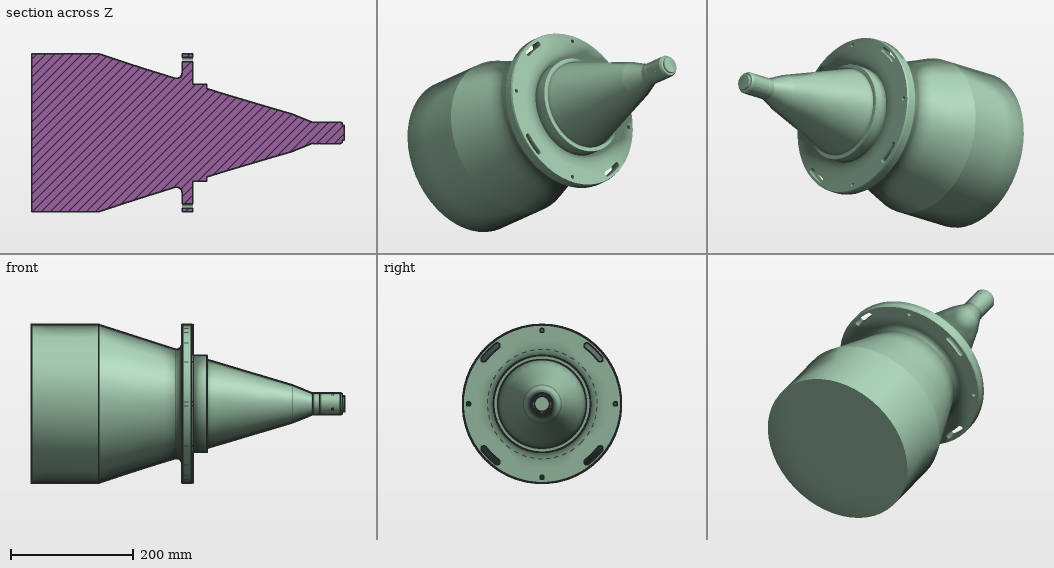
import cadquery as cq
import math

body_radius = 129.75
body_end = 110.0
neck_radius = 89.5
neck_start = 235.0
neck_end = 238.0

flange_radius = 130.0
flange_start = 246.0
flange_end = 264.5
flange_front_chamfer = 2.0
flange_back_chamfer = 3.0
flange_chamfer_drop = 1.0
neck_fillet = flange_start - neck_end

boss_radius = 79.5
boss_end = 287.5
boss_chamfer = 0.5
cone_base_radius = 72.5
cone_break = 426.5
cone_break_radius = 31.0

tip_radius = 18.0
tip_start = 458.6
tip_chamfer_start = 505.0
tip_chamfer_end = 508.6
tip_end_radius = 16.0
nub_radius = 13.0
nub_chamfer = 0.5
total_length = 512.4

second_groove_start = 469.8
groove_stations = (tip_start, second_groove_start)
groove_width = 3.2
groove_depth = 0.5

screw_hole_station = 492.3
screw_hole_diameter = 2.0
screw_hole_depth = 4.0
screw_hole_count = 3

pitch_radius = 120.0
slot_width = 9.0
slot_half_angle = 7.4
slot_count = 4
slot_start_angle = 45.0
pin_hole_diameter = 6.5
pin_hole_count = 4


def make_body():
    bend = math.sqrt(0.5) * neck_fillet
    profile = (
        cq.Workplane("XY")
        .lineTo(0, body_radius)
        .lineTo(body_end, body_radius)
        .lineTo(neck_start, neck_radius)
        .lineTo(neck_end, neck_radius)
        .threePointArc(
            (neck_end + bend, neck_radius + neck_fillet - bend),
            (flange_start, neck_radius + neck_fillet),
        )
        .lineTo(flange_start, flange_radius - flange_chamfer_drop)
        .lineTo(flange_start + flange_front_chamfer, flange_radius)
        .lineTo(flange_end - flange_back_chamfer, flange_radius)
        .lineTo(flange_end, flange_radius - flange_chamfer_drop)
        .lineTo(flange_end, boss_radius)
        .lineTo(boss_end - boss_chamfer, boss_radius)
        .lineTo(boss_end, boss_radius - boss_chamfer)
        .lineTo(boss_end, cone_base_radius)
        .lineTo(cone_break, cone_break_radius)
    )
    for start in groove_stations:
        profile = (
            profile.lineTo(start, tip_radius)
            .lineTo(start + groove_width / 2, tip_radius - groove_depth)
            .lineTo(start + groove_width, tip_radius)
        )
    profile = (
        profile.lineTo(tip_chamfer_start, tip_radius)
        .lineTo(tip_chamfer_end, tip_end_radius)
        .lineTo(tip_chamfer_end, nub_radius)
        .lineTo(total_length - nub_chamfer, nub_radius)
        .lineTo(total_length, nub_radius - nub_chamfer)
        .lineTo(total_length, 0)
        .close()
    )
    return profile.revolve(360, (0, 0, 0), (1, 0, 0)).rotate((0, 0, 0), (1, 0, 0), 90)


def polar(radius, degrees):
    angle = math.radians(degrees)
    return radius * math.cos(angle), radius * math.sin(angle)


def flange_slot(middle):
    inner = pitch_radius - slot_width / 2
    outer = pitch_radius + slot_width / 2
    first = middle - slot_half_angle
    last = middle + slot_half_angle
    cap = math.degrees(slot_width / 2 / pitch_radius)
    return (
        cq.Workplane("YZ", origin=(flange_start, 0, 0))
        .moveTo(*polar(outer, first))
        .threePointArc(polar(outer, middle), polar(outer, last))
        .threePointArc(polar(pitch_radius, last + cap), polar(inner, last))
        .threePointArc(polar(inner, middle), polar(inner, first))
        .threePointArc(polar(pitch_radius, first - cap), polar(outer, first))
        .close()
        .extrude(flange_end - flange_start)
    )


def pin_holes():
    return (
        cq.Workplane("YZ", origin=(flange_start, 0, 0))
        .polarArray(pitch_radius, 0, 360, pin_hole_count)
        .circle(pin_hole_diameter / 2)
        .extrude(flange_end - flange_start)
    )


def screw_hole(turn):
    hole = (
        cq.Workplane("XY", origin=(screw_hole_station, 0, tip_radius - screw_hole_depth))
        .circle(screw_hole_diameter / 2)
        .extrude(2 * screw_hole_depth)
    )
    return hole.rotate((0, 0, 0), (1, 0, 0), turn)


result = make_body().cut(pin_holes())
for index in range(slot_count):
    result = result.cut(flange_slot(slot_start_angle + index * 360 / slot_count))
for index in range(screw_hole_count):
    result = result.cut(screw_hole(index * 360 / screw_hole_count))